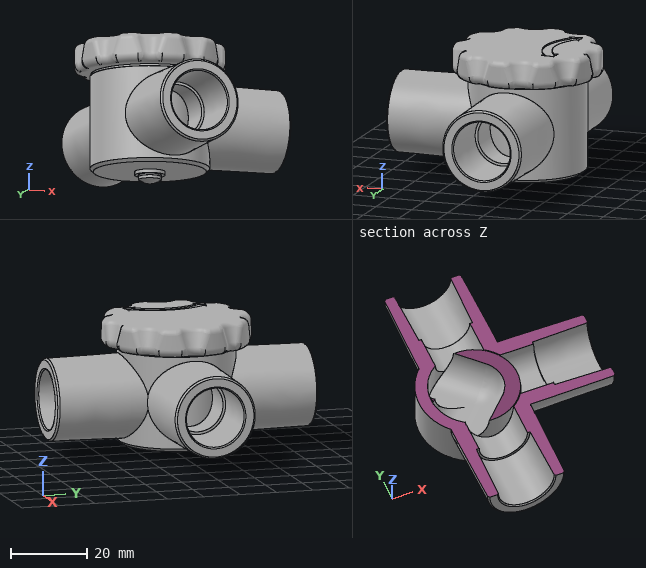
import cadquery as cq
import math


housing_diameter = 31.5
housing_top = 12.45
housing_bottom = -13.0
bottom_chamfer = 0.85
plug_bore_diameter = 24.5
floor_thickness = 2.0
stem_hole_diameter = 6.15

port_reach = 35.75
port_root_diameter = 22.6
port_tip_diameter = 22.0
port_chamfer = 0.5
port_angles = (0, 90, -90)
socket_depth = 16.0
socket_mouth_diameter = 15.9
socket_end_diameter = 15.15
socket_chamfer = 0.35
port_bore_diameter = 13.7

plug_diameter = 24.4
plug_passage_diameter = 15.9
passage_angles = (135, 225)
floor_clearance = 0.1
stem_diameter = 6.0

knob_diameter = 39.9
knob_top = 21.0
knob_height = 8.0
collar_diameter = 31.0
knob_fillet = 2.0
scallop_count = 10
scallop_phase = -3.4
scallop_offset = 21.7
scallop_bottom_radius = 2.3
scallop_draft = 15.0

arrow_centre_x = -21.45
arrow_bend_radius = 15.15
arrow_width = 2.65
arrow_head_width = 4.4
arrow_base_angle = 38.0
arrow_tip_angle = 47.5
arrow_depth = 0.35

washer_diameter = 8.0
washer_hole_diameter = 3.2
washer_thickness = 0.9
screw_diameter = 3.0
screw_grip = 3.6
head_flange_diameter = 6.15
head_flange_thickness = 0.4
head_diameter = 6.0
head_side_height = 0.8
screw_bottom = -16.2

housing_radius = housing_diameter / 2
knob_bottom = knob_top - knob_height
floor_top = housing_bottom + floor_thickness
plug_bottom = floor_top + floor_clearance
washer_bottom = housing_bottom - washer_thickness


def disc(diameter, bottom, top):
    """Upright cylinder on the turning axis."""
    return cq.Workplane("XY").workplane(offset=bottom).circle(diameter / 2).extrude(top - bottom)


def turned_about_x(points, angle):
    """Solid of revolution about X from (x, radius) points, then swung to an angle about Z."""
    profile = cq.Workplane("XY").polyline(points).close()
    return profile.revolve(360, (0, 0), (1, 0)).rotate((0, 0, 0), (0, 0, 1), angle)


def port_outside(angle):
    """Straight root inside the reach of the housing wall, then a taper to the chamfered tip."""
    root_radius = port_root_diameter / 2
    tip_radius = port_tip_diameter / 2
    return turned_about_x(
        [
            (0, 0),
            (0, root_radius),
            (housing_radius, root_radius),
            (port_reach - port_chamfer, tip_radius),
            (port_reach, tip_radius - port_chamfer),
            (port_reach, 0),
        ],
        angle,
    )


def port_inside(angle):
    """Bore of a port with its tapered socket and chamfered mouth."""
    bore_radius = port_bore_diameter / 2
    mouth_radius = socket_mouth_diameter / 2
    socket_end = port_reach - socket_depth
    return turned_about_x(
        [
            (0, 0),
            (0, bore_radius),
            (socket_end, bore_radius),
            (socket_end, socket_end_diameter / 2),
            (port_reach - socket_chamfer, mouth_radius),
            (port_reach, mouth_radius + socket_chamfer),
            (port_reach, 0),
        ],
        angle,
    )


def make_housing():
    body = disc(housing_diameter, housing_bottom, housing_top).faces("<Z").chamfer(bottom_chamfer)
    for angle in port_angles:
        body = body.union(port_outside(angle))
    for angle in port_angles:
        body = body.cut(port_inside(angle))
    body = body.cut(disc(plug_bore_diameter, floor_top, housing_top))
    return body.cut(disc(stem_hole_diameter, housing_bottom, floor_top))


def scallop(angle):
    """Upright cone that widens upward and cuts one finger grip out of the knob rim."""
    top_radius = scallop_bottom_radius + knob_height * math.tan(math.radians(scallop_draft))
    cone = cq.Solid.makeCone(
        scallop_bottom_radius, top_radius, knob_height, cq.Vector(scallop_offset, 0, knob_bottom)
    )
    return cq.Workplane(cone).rotate((0, 0, 0), (0, 0, 1), angle)


def make_knob_disc():
    """Knob disc with its finger grips, all edges rounded."""
    body = disc(knob_diameter, knob_bottom, knob_top)
    for index in range(scallop_count):
        body = body.cut(scallop(scallop_phase + index * 360 / scallop_count))
    return body.edges().fillet(knob_fillet)


def arrow_point(radius, angle):
    """Point at a radius and an angle about the centre of the arrow's bend."""
    turn = math.radians(angle)
    return (arrow_centre_x + radius * math.cos(turn), radius * math.sin(turn))


def make_arrow():
    """Bent arrow with a head at each end, as deep as its engraving."""
    inner_radius = arrow_bend_radius - arrow_width / 2
    outer_radius = arrow_bend_radius + arrow_width / 2
    head_inner_radius = arrow_bend_radius - arrow_head_width / 2
    head_outer_radius = arrow_bend_radius + arrow_head_width / 2
    outline = (
        cq.Workplane("XY")
        .workplane(offset=knob_top - arrow_depth)
        .moveTo(*arrow_point(outer_radius, -arrow_base_angle))
        .threePointArc(arrow_point(outer_radius, 0), arrow_point(outer_radius, arrow_base_angle))
        .lineTo(*arrow_point(head_outer_radius, arrow_base_angle))
        .lineTo(*arrow_point(arrow_bend_radius, arrow_tip_angle))
        .lineTo(*arrow_point(head_inner_radius, arrow_base_angle))
        .lineTo(*arrow_point(inner_radius, arrow_base_angle))
        .threePointArc(arrow_point(inner_radius, 0), arrow_point(inner_radius, -arrow_base_angle))
        .lineTo(*arrow_point(head_inner_radius, -arrow_base_angle))
        .lineTo(*arrow_point(arrow_bend_radius, -arrow_tip_angle))
        .lineTo(*arrow_point(head_outer_radius, -arrow_base_angle))
        .close()
    )
    return outline.extrude(arrow_depth)


def passage_leg(angle):
    """Half of the elbow passage, from the turning axis out through the side of the plug."""
    passage_radius = plug_passage_diameter / 2
    return turned_about_x(
        [(0, 0), (0, passage_radius), (plug_diameter, passage_radius), (plug_diameter, 0)], angle
    )


def make_plug():
    """Plug and stem with the elbow passage and the screw hole."""
    plug = disc(plug_diameter, plug_bottom, knob_bottom)
    plug = plug.union(disc(stem_diameter, housing_bottom, plug_bottom))
    plug = plug.cut(cq.Workplane("XY").sphere(plug_passage_diameter / 2))
    for angle in passage_angles:
        plug = plug.cut(passage_leg(angle))
    return plug.cut(disc(screw_diameter, housing_bottom, housing_bottom + screw_grip))


def make_knob():
    """Knob, collar, plug and stem as one body."""
    knob_body = make_knob_disc().cut(make_arrow())
    knob_body = knob_body.union(disc(collar_diameter, housing_top, knob_bottom))
    return knob_body.union(make_plug())


def make_washer():
    return disc(washer_diameter, washer_bottom, housing_bottom).cut(
        disc(washer_hole_diameter, washer_bottom, housing_bottom)
    )


def make_screw():
    """Shank, flange and head with a domed end."""
    head_radius = head_diameter / 2
    flange_bottom = washer_bottom - head_flange_thickness
    dome_edge = flange_bottom - head_side_height
    dome_height = dome_edge - screw_bottom
    dome_radius = (head_radius**2 + dome_height**2) / (2 * dome_height)
    dome_middle_x = head_radius / 2
    dome_middle_z = screw_bottom + dome_radius - math.sqrt(dome_radius**2 - dome_middle_x**2)
    half_head = (
        cq.Workplane("XZ")
        .moveTo(0, screw_bottom)
        .threePointArc((dome_middle_x, dome_middle_z), (head_radius, dome_edge))
        .lineTo(head_radius, flange_bottom)
        .lineTo(0, flange_bottom)
        .close()
    )
    head = half_head.revolve(360, (0, 0), (0, 1))
    flange = disc(head_flange_diameter, flange_bottom, washer_bottom)
    shank = disc(screw_diameter, washer_bottom, housing_bottom + screw_grip)
    return head.union(flange).union(shank)


def only_solid(body):
    """The single solid that a body consists of."""
    return body.solids().val()


housing = make_housing()
knob = make_knob()
washer = make_washer()
screw = make_screw()

result = cq.Compound.makeCompound(
    [only_solid(housing), only_solid(knob), only_solid(washer), only_solid(screw)]
)